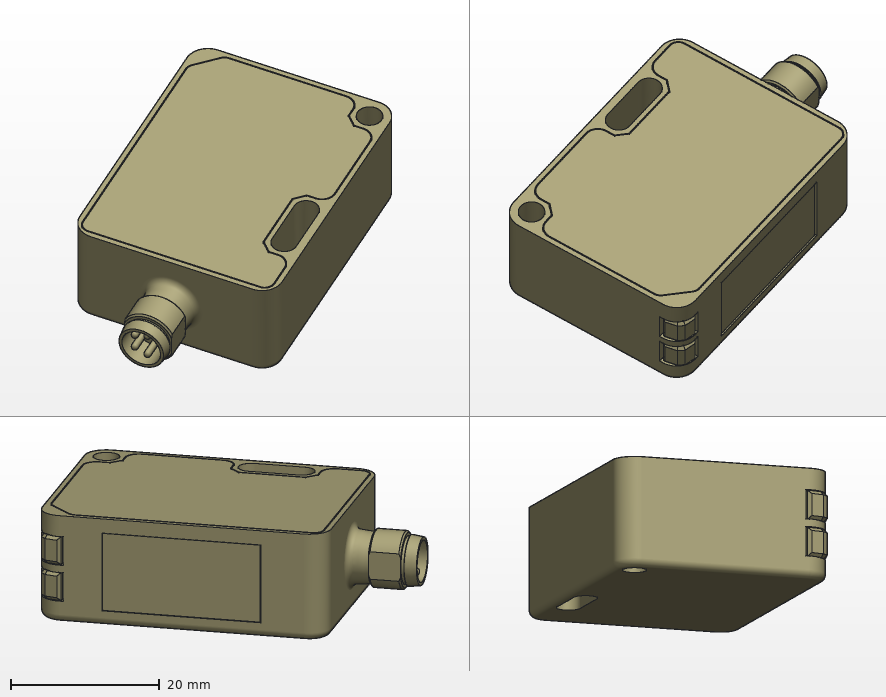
import cadquery as cq
import math

WIDTH = 30.0
LENGTH = 40.0
HEIGHT = 15.0
CORNER_RADIUS = 3.0
LENS_CORNER_RADIUS = 3.15
BOTTOM_RADIUS = 1.0
LEFT = -WIDTH / 2
RIGHT = WIDTH / 2
MID_HEIGHT = HEIGHT / 2

MOUNT_EDGE = 3.0
MOUNT_TOP_DIAMETER = 3.55
MOUNT_BOTTOM_DIAMETER = 3.3
SLOT_TRAVEL = 6.95
SLOT_SPACING = 23.55
MOUNT_X = RIGHT - MOUNT_EDGE
HOLE_Y = LENGTH - MOUNT_EDGE
SLOT_Y = HOLE_Y - SLOT_SPACING
MOUNT_DRAFT = math.degrees(math.atan((MOUNT_TOP_DIAMETER - MOUNT_BOTTOM_DIAMETER) / 2 / HEIGHT))

COVER_THICKNESS = 1.0
COVER_INSET = 0.75
COVER_GAP = 0.15
COVER_CORNER_RADIUS = 1.5
NOTCH_MOUTH_RADIUS = 2.0
COVER_CORNER_CUT = 3.75
NOTCH_CLEARANCE = 2.5
NOTCH_CHAMFER = 1.4

WINDOW_LENGTH = 21.8
WINDOW_HEIGHT = 10.9
WINDOW_THICKNESS = 0.75
WINDOW_RECESS = 0.25
WINDOW_END_GAP = 0.15
WINDOW_BACK = LENGTH - 9.1

LENS_HEIGHT = 4.0
LENS_SPACING = 5.05
LENS_CHAMFER = 0.5
LENS_REACH = 3.35
LENS_POCKET_REACH = 3.65
LENS_SEAT = 4.5
LENS_SIDE_OVERHANG = 0.25
LENS_BACK_OVERHANG = 0.1
LENS_SIDE_VERTEX = (0.25, 1.1)
LENS_BACK_VERTEX = (1.05, 0.4)
LENS_HEIGHTS = [MID_HEIGHT - LENS_SPACING / 2, MID_HEIGHT + LENS_SPACING / 2]

OVERALL_LENGTH = 49.65
CONNECTOR_LENGTH = OVERALL_LENGTH - LENGTH
FLARE_DIAMETER = 9.55
FLARE_END = 0.9
NECK_ROOT_DIAMETER = 7.4
NECK_DIAMETER = 7.0
COLLAR_START = 3.05
COLLAR_END = 7.5
COLLAR_DIAMETER = 8.0
COLLAR_FLATS = 7.0
COLLAR_CHAMFER = 0.25
GROOVE_END = 7.95
GROOVE_DIAMETER = 6.6
RIM_DIAMETER = 7.0
RIM_TAPER_START = 8.25
RIM_TIP_DIAMETER = 6.6
BORE_DIAMETER = 5.7
BORE_DEPTH = 3.95
PIN_DIAMETER = 1.0
PIN_NOSE_FLAT = 0.025
PIN_SETBACK = 0.5
PIN_CENTRES = [(-1.4, 1.1), (-1.4, -1.1), (0.5, 1.7), (0.5, -1.7)]


def cover_pocket():
    """Pocket under the top face, notched clear of the mounting hole and slot."""
    plate = (
        cq.Workplane("XY", origin=(0, LENGTH / 2, HEIGHT - COVER_THICKNESS))
        .rect(WIDTH - 2 * COVER_INSET, LENGTH - 2 * COVER_INSET)
        .extrude(COVER_THICKNESS)
        .edges("|Z and <X and >Y")
        .chamfer(COVER_CORNER_CUT)
        .edges("|Z and (not (>X and >Y))")
        .fillet(COVER_CORNER_RADIUS)
    )
    notch_width = 2 * (MOUNT_EDGE + NOTCH_CLEARANCE)
    hole_notch_height = 2 * (MOUNT_EDGE + NOTCH_CLEARANCE)
    slot_notch_height = SLOT_TRAVEL + 2 * NOTCH_CLEARANCE
    for centre_y, notch_height in [(LENGTH, hole_notch_height), (SLOT_Y, slot_notch_height)]:
        notch = (
            cq.Workplane("XY", origin=(RIGHT, centre_y, HEIGHT - COVER_THICKNESS))
            .rect(notch_width, notch_height)
            .extrude(COVER_THICKNESS)
            .edges("|Z and <X")
            .chamfer(NOTCH_CHAMFER)
        )
        plate = plate.cut(notch)
    slot_notch_reach = SLOT_TRAVEL / 2 + NOTCH_CLEARANCE
    mouth_points = [
        (MOUNT_X - NOTCH_CLEARANCE, LENGTH - COVER_INSET),
        (RIGHT - COVER_INSET, HOLE_Y - NOTCH_CLEARANCE),
        (RIGHT - COVER_INSET, SLOT_Y + slot_notch_reach),
        (RIGHT - COVER_INSET, SLOT_Y - slot_notch_reach),
    ]
    for x, y in mouth_points:
        corner = cq.selectors.NearestToPointSelector((x, y, HEIGHT - COVER_THICKNESS / 2))
        plate = plate.edges("|Z").edges(corner).fillet(NOTCH_MOUTH_RADIUS)
    return plate


def make_cover(pocket):
    """Cover plate, smaller than its pocket by the groove all round."""
    outline = pocket.faces(">Z").wires().val().offset2D(-COVER_GAP, "intersection")[0]
    return cq.Workplane(cq.Solid.extrudeLinear(outline, [], cq.Vector(0, 0, -COVER_THICKNESS)))


def window_block(thickness, end_gap):
    """Block for the window opening, from its seat outward."""
    length = WINDOW_LENGTH + end_gap
    seat_x = LEFT + WINDOW_RECESS + WINDOW_THICKNESS
    return cq.Workplane("XY").box(thickness, length, WINDOW_HEIGHT, centered=False).translate(
        (seat_x - thickness, WINDOW_BACK - length, MID_HEIGHT - WINDOW_HEIGHT / 2)
    )


def corner_prism(corner_points, z_centre):
    """Prism of one lens height; points are distances inward from the left back corner."""
    plan = [(LEFT + from_left, LENGTH - from_back) for from_left, from_back in corner_points]
    return (
        cq.Workplane("XY", origin=(0, 0, z_centre - LENS_HEIGHT / 2))
        .polyline(plan)
        .close()
        .extrude(LENS_HEIGHT)
    )


def lens_pocket(z_centre):
    """Seat for a lens, open to both sides and longer than the lens at its ends."""
    shallow = LENS_SEAT - LENS_POCKET_REACH
    outside = -LENS_SIDE_OVERHANG
    pocket_points = [
        (outside, LENS_POCKET_REACH),
        (outside, outside),
        (LENS_POCKET_REACH, outside),
        (LENS_POCKET_REACH, shallow),
        (shallow, LENS_POCKET_REACH),
    ]
    return corner_prism(pocket_points, z_centre)


def make_lens(z_centre):
    """Lens with a chamfered rim that dips just below the housing surface."""
    end_depth = LENS_SEAT - LENS_REACH
    lens_points = [
        (-LENS_SIDE_OVERHANG, LENS_REACH),
        LENS_SIDE_VERTEX,
        LENS_BACK_VERTEX,
        (LENS_REACH, -LENS_BACK_OVERHANG),
        (LENS_REACH, end_depth),
        (end_depth, LENS_REACH),
    ]
    blank = corner_prism(lens_points, z_centre)
    facets = blank.faces("<X or >Y or >(-1, 1, 0)")
    end_edges = blank.edges("|Z").edges("<X or >Y")
    return facets.edges("not |Z").add(end_edges).chamfer(LENS_CHAMFER)


def mounting_cutters():
    """Drafted cutters for the round hole and the slot, widest at the top."""
    hole = (
        cq.Workplane("XY", origin=(MOUNT_X, HOLE_Y, HEIGHT))
        .circle(MOUNT_TOP_DIAMETER / 2)
        .extrude(-HEIGHT, taper=MOUNT_DRAFT)
    )
    slot = (
        cq.Workplane("XY", origin=(MOUNT_X, SLOT_Y, HEIGHT))
        .slot2D(SLOT_TRAVEL + MOUNT_TOP_DIAMETER, MOUNT_TOP_DIAMETER, 90)
        .extrude(-HEIGHT, taper=MOUNT_DRAFT)
    )
    return [hole, slot]


def connector_axis_plane(depth):
    """Plane across the connector, its normal pointing out of the connector."""
    return cq.Workplane("XZ", origin=(0, -depth, MID_HEIGHT))


def make_connector():
    """Flared neck, flat-sided collar, groove and tapered rim, bored from the end."""
    neck_root = (NECK_ROOT_DIAMETER / 2, -FLARE_END)
    flare_start = (FLARE_DIAMETER / 2, 0)
    flare_width = flare_start[0] - neck_root[0]
    flare_middle = (
        flare_start[0] - flare_width * math.sin(math.pi / 4),
        -FLARE_END * (1 - math.cos(math.pi / 4)),
    )
    body = (
        cq.Workplane("XY", origin=(0, 0, MID_HEIGHT))
        .moveTo(0, 0)
        .lineTo(*flare_start)
        .threePointArc(flare_middle, neck_root)
        .lineTo(NECK_DIAMETER / 2, -COLLAR_START)
        .lineTo(GROOVE_DIAMETER / 2, -COLLAR_START)
        .lineTo(GROOVE_DIAMETER / 2, -GROOVE_END)
        .lineTo(RIM_DIAMETER / 2, -GROOVE_END)
        .lineTo(RIM_DIAMETER / 2, -RIM_TAPER_START)
        .lineTo(RIM_TIP_DIAMETER / 2, -CONNECTOR_LENGTH)
        .lineTo(0, -CONNECTOR_LENGTH)
        .close()
        .revolve(360, (0, 0, 0), (0, 1, 0))
    )
    collar_length = COLLAR_END - COLLAR_START
    collar = (
        connector_axis_plane(COLLAR_START)
        .circle(COLLAR_DIAMETER / 2)
        .extrude(collar_length)
        .edges()
        .chamfer(COLLAR_CHAMFER)
    )
    flats = (
        connector_axis_plane(COLLAR_START)
        .rect(COLLAR_FLATS, COLLAR_DIAMETER)
        .extrude(collar_length)
    )
    bore = (
        connector_axis_plane(CONNECTOR_LENGTH)
        .circle(BORE_DIAMETER / 2)
        .extrude(-BORE_DEPTH)
    )
    return body.union(collar.intersect(flats)).cut(bore)


def make_contact_pins():
    """Round-nosed contact pins standing on the floor of the connector bore."""
    return (
        connector_axis_plane(CONNECTOR_LENGTH - BORE_DEPTH)
        .pushPoints(PIN_CENTRES)
        .circle(PIN_DIAMETER / 2)
        .extrude(BORE_DEPTH - PIN_SETBACK)
        .faces("<Y")
        .edges()
        .fillet(PIN_DIAMETER / 2 - PIN_NOSE_FLAT)
    )


def make_housing(pocket):
    """Housing block with its connector and a seat for each fitted part."""
    block = (
        cq.Workplane("XY", origin=(0, LENGTH / 2, 0))
        .rect(WIDTH, LENGTH)
        .extrude(HEIGHT)
        .edges("|Z and <X and >Y")
        .fillet(LENS_CORNER_RADIUS)
        .edges("|Z and (>X or <Y)")
        .fillet(CORNER_RADIUS)
        .faces("<Z")
        .edges()
        .fillet(BOTTOM_RADIUS)
    )
    for cutter in mounting_cutters():
        block = block.cut(cutter)
    block = block.cut(pocket)
    block = block.cut(window_block(WINDOW_THICKNESS + WINDOW_RECESS, WINDOW_END_GAP))
    for z_centre in LENS_HEIGHTS:
        block = block.cut(lens_pocket(z_centre))
    return block.union(make_connector()).union(make_contact_pins())


pocket = cover_pocket()
housing = make_housing(pocket)
cover = make_cover(pocket)
window = window_block(WINDOW_THICKNESS, 0)
lenses = [make_lens(z_centre) for z_centre in LENS_HEIGHTS]

result = cq.Compound.makeCompound(
    [housing.val(), cover.val(), window.val(), *[lens.val() for lens in lenses]]
)